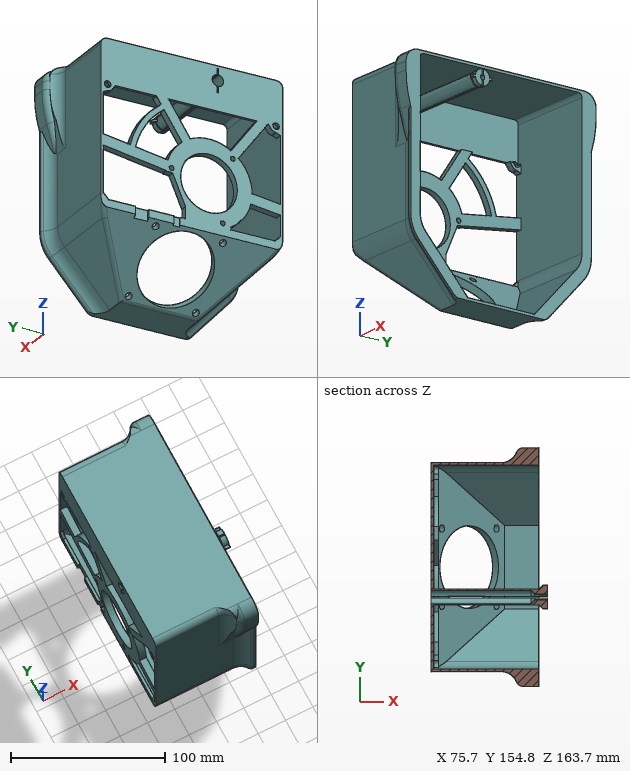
import cadquery as cq
import math

DEPTH = 70.0
HEIGHT = 163.71
HALF_WIDTH = 67.8
WALL = 2.0
PLATE_THICKNESS = 2.0
RIB_THICKNESS = 5.0
TOP_CORNER_RADIUS = 5.0

BEND_RADIUS = 20.0
BEND_ANGLE = 42.0
BEND_Y = HALF_WIDTH - BEND_RADIUS
BEND_Z = 50.7
CAVITY_BEND_RAISE = 1.2

SLOPE_RISE = 42.0
SLOPE_THICKNESS = 5.5
SLOPE_EDGE_RADIUS = 3.5

RIM_PROJECTION = 5.8
RIM_START_X = 56.5
RIM_HOLLOW_RADIUS = 13.0
RIM_CREST_RADIUS = 2.5
RIM_TOP_Z = 123.0
RIM_BOTTOM_RADIUS = 6.0

EAR_HALF_WIDTH = 77.4
EAR_START_X = 46.0
EAR_HOLLOW_RADIUS = 10.0
EAR_CREST_RADIUS = 5.0
EAR_CORNER_RADIUS = 10.0
EAR_STRAIGHT_END_Z = 147.7
EAR_TAPER_RADIUS = 80.0
EAR_TAPER_ANGLE = 17.0
EAR_BOTTOM_Z = 103.2
EAR_INNER_Y = 40.0

OPENING_HALF_WIDTH = 65.8
OPENING_BOTTOM_Z = 47.7
OPENING_TOP_Z = 131.0
OPENING_CHAMFER = 4.0
HUB_Y = -12.8
HUB_Z = 77.4
HUB_RADIUS = 32.0
HUB_BORE = 42.03
HUB_SCREW_HOLE = 3.4
HUB_SCREW_CIRCLE_RADIUS = 28.2
HUB_SCREW_FIRST_ANGLE = 8.8
HUB_SCREW_COUNT = 3
FOOT_LEFT_Y = 4.7
FOOT_RIGHT_Y = -29.2
FOOT_SHOULDER_Z = 56.3
GUSSET_TOP = (14.4, 78.5)
BRACE_OUTER_RADIUS = 60.2
BRACE_WIDTH = 4.0
SPOKES = {
    "upper left": ((21.7, 130.7), (4.5, 104.6), 7.4),
    "upper right": ((-51.9, 129.9), (-32.2, 103.2), 6.9),
    "left": ((65.8, 90.1), (15.6, 82.5), 8.1),
    "right": ((-65.8, 71.2), (-44.4, 73.8), 7.8),
}
SPOKE_OVERRUN = 6.0

MOUNT_HOLE = 4.7
MOUNT_BOSS_RADIUS = 4.7
MOUNT_Y = 62.7
MOUNT_Z = 130.7
MOUNT_WEB_INNER_Y = 56.7
MOUNT_WEB_BOTTOM_Z = 124.6

SILL_RECESSES = [(36.9, 9.8, 2.0), (11.1, 4.8, 1.0)]

PORT_DIAMETER = 53.6
PORT_SCREW_HOLE = 4.7
PORT_SCREW_SPACING = 50.0

CLIP_Y = -19.4
CLIP_Z = 153.1
CLIP_LENGTH = 75.67
CLIP_NECK_DIAMETER = 10.5
CLIP_HEAD_DIAMETER = 11.7
CLIP_HEAD_X = 71.4
CLIP_BORE = 8.3
CLIP_TIP_BORE = 3.4
CLIP_BORE_END_X = 65.0
CLIP_BARB_REACH = 7.7
CLIP_BARB_THICKNESS = 1.6
CLIP_SLIT_WIDTH = 1.0
CLIP_SLIT_HEIGHT = 17.2


def cos_deg(angle):
    return math.cos(math.radians(angle))


def sin_deg(angle):
    return math.sin(math.radians(angle))


def both_sides(solid):
    """The solid together with its mirror image across the XZ plane."""
    return solid.union(solid.mirror("XZ"))


def yz_plane(x):
    return cq.Workplane("YZ", origin=(x, 0, 0))


def cylinder_x(y, z, diameter, x_start, x_end):
    return yz_plane(x_start).center(y, z).circle(diameter / 2).extrude(x_end - x_start)


def shell_prism(offset, bottom_z, x_start, bend_z=BEND_Z):
    """Shell cross-section grown by offset, from x_start to the rear."""
    side_y = HALF_WIDTH + offset
    top_z = HEIGHT + min(offset, 0)
    corner = TOP_CORNER_RADIUS + offset
    bend = BEND_RADIUS + offset

    def bend_point(angle):
        return BEND_Y + bend * cos_deg(angle), bend_z - bend * sin_deg(angle)

    def mirrored(point):
        return -point[0], point[1]

    bend_end = bend_point(BEND_ANGLE)
    bend_middle = bend_point(BEND_ANGLE / 2)
    drop = bend_end[1] - bottom_z
    bottom = (bend_end[0] - drop * math.tan(math.radians(BEND_ANGLE)), bottom_z)
    corner_middle = corner * (1 - math.sqrt(0.5))
    top_middle = (side_y - corner_middle, top_z - corner_middle)
    return (
        yz_plane(x_start)
        .moveTo(*bottom)
        .lineTo(*bend_end)
        .threePointArc(bend_middle, (side_y, bend_z))
        .lineTo(side_y, top_z - corner)
        .threePointArc(top_middle, (side_y - corner, top_z))
        .lineTo(corner - side_y, top_z)
        .threePointArc(mirrored(top_middle), (-side_y, top_z - corner))
        .lineTo(-side_y, bend_z)
        .threePointArc(mirrored(bend_middle), mirrored(bend_end))
        .lineTo(*mirrored(bottom))
        .close()
        .extrude(DEPTH - x_start)
    )


def slope_wedge(rise):
    """Everything below the 45 degree plane X + Z = rise."""
    margin = BEND_RADIUS / 2
    return (
        cq.Workplane("XZ")
        .polyline([(-margin, -margin), (rise + margin, -margin), (-margin, rise + margin)])
        .close()
        .extrude(HALF_WIDTH + RIM_PROJECTION + margin, both=True)
    )


def make_shell():
    shell = shell_prism(0, 0, 0).cut(slope_wedge(SLOPE_RISE))
    slope = shell.faces("<(1, 0, 1)")
    front_edge = slope.edges("<X").val()
    rounded = [edge for edge in slope.edges().vals() if not edge.isSame(front_edge)]
    return shell.newObject(rounded).fillet(SLOPE_EDGE_RADIUS)


def make_cavity():
    inner_rise = SLOPE_RISE + SLOPE_THICKNESS * math.sqrt(2)
    cavity = shell_prism(-WALL, WALL, PLATE_THICKNESS, BEND_Z + CAVITY_BEND_RAISE)
    return cavity.cut(slope_wedge(inner_rise))


def rim_section():
    """Rim profile in the XY plane at the top of the bend: a hollow arc easing into a crest arc."""
    turn = math.acos(1 - RIM_PROJECTION / (RIM_HOLLOW_RADIUS + RIM_CREST_RADIUS))
    crest_x = RIM_START_X + (RIM_HOLLOW_RADIUS + RIM_CREST_RADIUS) * math.sin(turn)
    crest_y = HALF_WIDTH + RIM_PROJECTION

    def hollow_point(angle):
        x = RIM_START_X + RIM_HOLLOW_RADIUS * math.sin(angle)
        return x, HALF_WIDTH + RIM_HOLLOW_RADIUS * (1 - math.cos(angle))

    def crest_point(angle):
        x = crest_x - RIM_CREST_RADIUS * math.sin(angle)
        return x, crest_y - RIM_CREST_RADIUS * (1 - math.cos(angle))

    return (
        cq.Workplane("XY", origin=(0, 0, BEND_Z))
        .moveTo(RIM_START_X, HALF_WIDTH - WALL)
        .lineTo(RIM_START_X, HALF_WIDTH)
        .threePointArc(hollow_point(turn / 2), hollow_point(turn))
        .threePointArc(crest_point(turn / 2), (crest_x, crest_y))
        .lineTo(DEPTH, crest_y)
        .lineTo(DEPTH, HALF_WIDTH - WALL)
        .close()
    )


def make_rim():
    upright = rim_section().extrude(RIM_TOP_Z - BEND_Z)
    bend = rim_section().revolve(BEND_ANGLE, (0, BEND_Y), (-1, BEND_Y))
    lower = rim_section().extrude(-2 * BEND_Z)
    lower = lower.rotate((0, BEND_Y, BEND_Z), (1, BEND_Y, BEND_Z), -BEND_ANGLE)
    outline = shell_prism(RIM_PROJECTION, 0, RIM_START_X)
    outline = outline.edges("|X").edges("<Z").fillet(RIM_BOTTOM_RADIUS)
    return both_sides(upright.union(bend).union(lower)).intersect(outline)


def ear_prism(inset, x_start):
    """Ear outline on the +Y side; inset moves its side inward but fades out at top and bottom."""
    side_y = EAR_HALF_WIDTH - inset
    corner = EAR_CORNER_RADIUS - inset
    corner_y = side_y - corner
    corner_z = HEIGHT - corner
    corner_middle = (corner_y + corner * cos_deg(45), corner_z + corner * sin_deg(45))
    taper = EAR_TAPER_RADIUS - inset
    taper_y = side_y - taper

    def taper_point(angle):
        return taper_y + taper * cos_deg(angle), EAR_STRAIGHT_END_Z - taper * sin_deg(angle)

    return (
        yz_plane(x_start)
        .moveTo(EAR_INNER_Y, EAR_BOTTOM_Z)
        .lineTo(EAR_INNER_Y, HEIGHT)
        .lineTo(corner_y, HEIGHT)
        .threePointArc(corner_middle, (side_y, corner_z))
        .lineTo(side_y, EAR_STRAIGHT_END_Z)
        .threePointArc(taper_point(EAR_TAPER_ANGLE / 2), taper_point(EAR_TAPER_ANGLE))
        .lineTo(HALF_WIDTH, EAR_BOTTOM_Z)
        .close()
        .extrude(DEPTH - x_start)
    )


def ear_hollow_section(origin_z):
    """Front limit of the ear in the XY plane: a quarter arc rising from the shell's side."""
    hollow_end = (EAR_START_X + EAR_HOLLOW_RADIUS, HALF_WIDTH + EAR_HOLLOW_RADIUS)
    shell_corner_y = HALF_WIDTH - TOP_CORNER_RADIUS
    return (
        cq.Workplane("XY", origin=(0, 0, origin_z))
        .moveTo(EAR_START_X, shell_corner_y)
        .lineTo(EAR_START_X, HALF_WIDTH)
        .radiusArc(hollow_end, -EAR_HOLLOW_RADIUS)
        .lineTo(hollow_end[0], EAR_HALF_WIDTH + EAR_CORNER_RADIUS)
        .lineTo(DEPTH, EAR_HALF_WIDTH + EAR_CORNER_RADIUS)
        .lineTo(DEPTH, shell_corner_y)
        .close()
    )


def make_ears():
    """Ears with a hollow arc at the front and a rounded crest along the outer edge."""
    rise = EAR_HALF_WIDTH - HALF_WIDTH
    turn = math.acos(1 - rise / (EAR_HOLLOW_RADIUS + EAR_CREST_RADIUS))
    crest_front_x = EAR_START_X + (EAR_HOLLOW_RADIUS + EAR_CREST_RADIUS) * math.sin(turn) - EAR_CREST_RADIUS
    crest_drop = EAR_CREST_RADIUS * (1 - math.cos(turn))

    crest = ear_prism(0, crest_front_x)
    crest = crest.faces("<X").edges(">Y").fillet(EAR_CREST_RADIUS)
    ear = crest.union(ear_prism(crest_drop, EAR_START_X))

    corner_y = HALF_WIDTH - TOP_CORNER_RADIUS
    corner_z = HEIGHT - TOP_CORNER_RADIUS
    side = ear_hollow_section(EAR_BOTTOM_Z).extrude(corner_z - EAR_BOTTOM_Z)
    around_corner = ear_hollow_section(corner_z).revolve(90, (0, corner_y), (1, corner_y))
    return both_sides(ear.intersect(side.union(around_corner)))


def make_spoke(outer_point, hub_point, width):
    run_y = hub_point[0] - outer_point[0]
    run_z = hub_point[1] - outer_point[1]
    length = math.hypot(run_y, run_z) + 2 * SPOKE_OVERRUN
    middle_y = (outer_point[0] + hub_point[0]) / 2
    middle_z = (outer_point[1] + hub_point[1]) / 2
    return (
        yz_plane(0)
        .center(middle_y, middle_z)
        .transformed(rotate=(0, 0, math.degrees(math.atan2(run_z, run_y))))
        .rect(length, width)
        .extrude(RIB_THICKNESS)
    )


def make_hub():
    hub = cylinder_x(HUB_Y, HUB_Z, 2 * HUB_RADIUS, 0, RIB_THICKNESS)
    foot = (
        yz_plane(0)
        .polyline([
            (FOOT_RIGHT_Y, OPENING_BOTTOM_Z),
            (FOOT_LEFT_Y, OPENING_BOTTOM_Z),
            (FOOT_LEFT_Y, FOOT_SHOULDER_Z),
            GUSSET_TOP,
            (HUB_Y, HUB_Z),
            (FOOT_RIGHT_Y, HUB_Z),
        ])
        .close()
        .extrude(RIB_THICKNESS)
    )
    beside_gusset = (
        yz_plane(0)
        .polyline([
            GUSSET_TOP,
            (FOOT_LEFT_Y, FOOT_SHOULDER_Z),
            (FOOT_LEFT_Y, OPENING_BOTTOM_Z),
            (OPENING_HALF_WIDTH, OPENING_BOTTOM_Z),
            (OPENING_HALF_WIDTH, GUSSET_TOP[1]),
        ])
        .close()
        .extrude(RIB_THICKNESS)
    )
    return hub.union(foot).cut(beside_gusset)


def make_brace():
    """Curved brace about the hub centre, between the left and upper left spokes."""
    brace = cylinder_x(HUB_Y, HUB_Z, 2 * BRACE_OUTER_RADIUS, 0, RIB_THICKNESS)
    brace = brace.cut(cylinder_x(HUB_Y, HUB_Z, 2 * (BRACE_OUTER_RADIUS - BRACE_WIDTH), 0, RIB_THICKNESS))
    sector = (
        yz_plane(0)
        .polyline([
            (HUB_Y, HUB_Z),
            SPOKES["left"][0],
            (OPENING_HALF_WIDTH, OPENING_TOP_Z),
            SPOKES["upper left"][0],
        ])
        .close()
        .extrude(RIB_THICKNESS)
    )
    return brace.intersect(sector)


def opening_prism(depth):
    height = OPENING_TOP_Z - OPENING_BOTTOM_Z
    return (
        yz_plane(0)
        .center(0, OPENING_BOTTOM_Z + height / 2)
        .rect(2 * OPENING_HALF_WIDTH, height)
        .extrude(depth)
        .edges("|X and <Z")
        .chamfer(OPENING_CHAMFER)
    )


def make_mount_webs():
    diagonal = MOUNT_BOSS_RADIUS * math.sqrt(0.5)
    web = (
        yz_plane(0)
        .polyline([
            (OPENING_HALF_WIDTH, OPENING_TOP_Z),
            (MOUNT_WEB_INNER_Y, OPENING_TOP_Z),
            (MOUNT_Y - diagonal, MOUNT_Z - diagonal),
            (MOUNT_Y, MOUNT_Z - MOUNT_BOSS_RADIUS),
            (OPENING_HALF_WIDTH, MOUNT_WEB_BOTTOM_Z),
        ])
        .close()
        .extrude(RIB_THICKNESS)
    )
    return both_sides(web)


def make_framework():
    """Hub, brace, spokes and mounting bosses standing in the front opening."""
    framework = make_hub().union(make_brace())
    for outer_point, hub_point, width in SPOKES.values():
        framework = framework.union(make_spoke(outer_point, hub_point, width))
    for y in (-MOUNT_Y, MOUNT_Y):
        framework = framework.union(cylinder_x(y, MOUNT_Z, 2 * MOUNT_BOSS_RADIUS, 0, RIB_THICKNESS))
    framework = framework.union(make_mount_webs())
    return framework.intersect(opening_prism(RIB_THICKNESS))


def make_plate_holes():
    holes = cylinder_x(HUB_Y, HUB_Z, HUB_BORE, 0, RIB_THICKNESS)
    for i in range(HUB_SCREW_COUNT):
        angle = HUB_SCREW_FIRST_ANGLE + i * 360 / HUB_SCREW_COUNT
        y = HUB_Y + HUB_SCREW_CIRCLE_RADIUS * cos_deg(angle)
        z = HUB_Z + HUB_SCREW_CIRCLE_RADIUS * sin_deg(angle)
        holes = holes.union(cylinder_x(y, z, HUB_SCREW_HOLE, 0, RIB_THICKNESS))
    for y in (-MOUNT_Y, MOUNT_Y):
        holes = holes.union(cylinder_x(y, MOUNT_Z, MOUNT_HOLE, 0, RIB_THICKNESS))
    return holes


def make_sill_recesses():
    recesses = cq.Workplane("XY")
    for y, width, depth in SILL_RECESSES:
        bottom_z = SLOPE_RISE - depth
        height = OPENING_BOTTOM_Z - bottom_z
        recess = cq.Workplane("XY").box(depth, width, height)
        recesses = recesses.union(recess.translate((depth / 2, y, bottom_z + height / 2)))
    return recesses


def make_port():
    """Round port and four screw holes, square to the sloped wall."""
    reach = 2 * SLOPE_THICKNESS
    middle = (SLOPE_RISE / 2, 0, SLOPE_RISE / 2)
    face = cq.Plane(origin=middle, xDir=(0, 1, 0), normal=(1, 0, 1))
    port = cq.Workplane(face).circle(PORT_DIAMETER / 2).extrude(reach)
    screw_holes = (
        cq.Workplane(face)
        .rect(PORT_SCREW_SPACING, PORT_SCREW_SPACING, forConstruction=True)
        .vertices()
        .circle(PORT_SCREW_HOLE / 2)
        .extrude(reach)
    )
    return port.union(screw_holes)


def make_clip():
    neck = cylinder_x(CLIP_Y, CLIP_Z, CLIP_NECK_DIAMETER, 0, CLIP_LENGTH)
    head = cylinder_x(CLIP_Y, CLIP_Z, CLIP_HEAD_DIAMETER, CLIP_HEAD_X, CLIP_LENGTH)
    barb_start_y = CLIP_NECK_DIAMETER / 2
    barb_ramp = CLIP_BARB_REACH - barb_start_y
    barb_x = CLIP_HEAD_X - barb_ramp / 2
    barbs = (
        cq.Workplane("XY", origin=(0, CLIP_Y, CLIP_Z - CLIP_BARB_THICKNESS / 2))
        .polyline([
            (barb_x, -barb_start_y),
            (barb_x + barb_ramp, -CLIP_BARB_REACH),
            (CLIP_LENGTH, -CLIP_BARB_REACH),
            (CLIP_LENGTH, CLIP_BARB_REACH),
            (barb_x + barb_ramp, CLIP_BARB_REACH),
            (barb_x, barb_start_y),
        ])
        .close()
        .extrude(CLIP_BARB_THICKNESS)
    )
    return neck.union(head).union(barbs)


def make_clip_bore():
    """Stepped bore with a conical bottom, and the slit that splits the clip."""
    cone_end_x = CLIP_BORE_END_X + (CLIP_BORE - CLIP_TIP_BORE) / 2
    bore = (
        cq.Workplane("XY", origin=(0, CLIP_Y, CLIP_Z))
        .polyline([
            (0, 0),
            (0, CLIP_BORE / 2),
            (CLIP_BORE_END_X, CLIP_BORE / 2),
            (cone_end_x, CLIP_TIP_BORE / 2),
            (CLIP_LENGTH, CLIP_TIP_BORE / 2),
            (CLIP_LENGTH, 0),
        ])
        .close()
        .revolve(360, (0, 0), (1, 0))
    )
    slit = cq.Workplane("XY").box(CLIP_LENGTH, CLIP_SLIT_WIDTH, CLIP_SLIT_HEIGHT)
    return bore.union(slit.translate((CLIP_LENGTH / 2, CLIP_Y, CLIP_Z)))


result = make_shell().union(make_ears()).union(make_rim()).cut(make_cavity())
result = result.cut(opening_prism(PLATE_THICKNESS)).union(make_framework()).cut(make_plate_holes())
result = result.cut(make_sill_recesses()).cut(make_port())
result = result.union(make_clip()).cut(make_clip_bore())